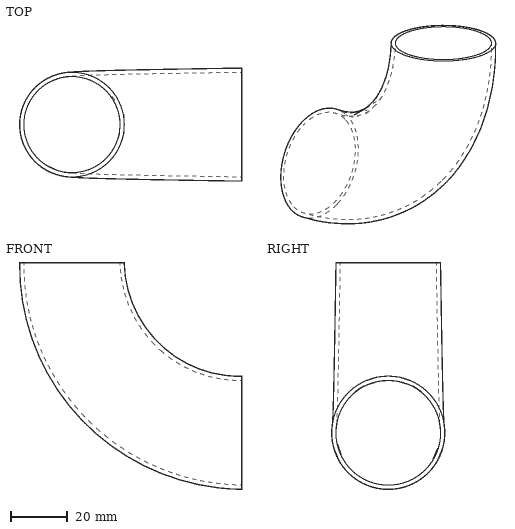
import cadquery as cq

bend_radius = 60.0
top_diameter = 36.95
side_diameter = 40.0
wall = 1.5

top_center = (-bend_radius, 0, 0)
side_center = (0, 0, -bend_radius)
centerline = cq.Workplane(
    cq.Edge.makeTangentArc(
        cq.Vector(*top_center), cq.Vector(0, 0, -1), cq.Vector(*side_center)
    )
)


def tapered_bend(start_diameter, end_diameter):
    """Solid quarter bend whose round section changes steadily in size."""
    sections = [
        cq.Wire.makeCircle(start_diameter / 2, cq.Vector(*top_center), cq.Vector(0, 0, -1)),
        cq.Wire.makeCircle(end_diameter / 2, cq.Vector(*side_center), cq.Vector(1, 0, 0)),
    ]
    return cq.Workplane().add(sections).toPending().sweep(centerline, multisection=True)


outer = tapered_bend(top_diameter, side_diameter)
bore = tapered_bend(top_diameter - 2 * wall, side_diameter - 2 * wall)
result = outer.cut(bore)